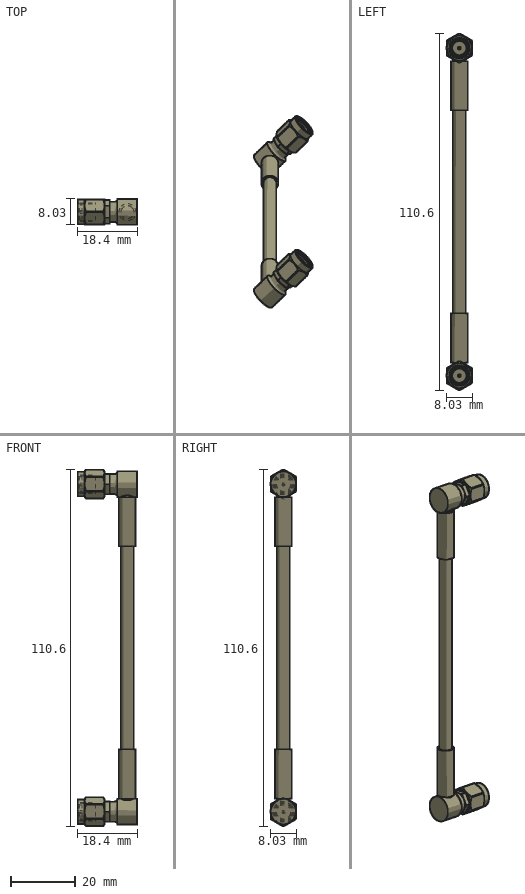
import cadquery as cq
import math


plug_spacing = 101.6
plug_length = 18.41

body_diameter = 8.03
body_length = 6.1
neck_diameter = 6.3

nut_sleeve_diameter = 7.7
nut_sleeve_length = 2.1
nut_hex_length = 6.3
nut_hex_flats = 7.94
nut_corner_diameter = 8.99
nut_hex_end_diameter = nut_sleeve_diameter
nut_chamfer_length = 0.5
nut_bore_diameter = 5.7
nut_bore_depth = 5.5
nut_bore_chamfer = 0.35

wrench_flats = 6.4
wrench_length = 1.6

shell_diameter = 5.1
shell_bore_diameter = 4.4
shell_recess = 0.5
dielectric_recess = 1.3
pin_diameter = 0.92
pin_recess = 0.6
pin_tip_chamfer = 0.2

stem_diameter = 4.0
ferrule_diameter = 5.25
ferrule_start = 4.05
ferrule_end = 19.3
cable_diameter = 4.1

back_x = body_length / 2
body_front_x = -body_length / 2
face_x = back_x - plug_length
sleeve_end_x = face_x + nut_sleeve_length
nut_end_x = sleeve_end_x + nut_hex_length
wrench_end_x = nut_end_x + wrench_length


def rod(start_x, end_x, diameter):
    """Cylinder along X."""
    return cq.Workplane("YZ", origin=(start_x, 0, 0)).circle(diameter / 2).extrude(end_x - start_x)


def hex_bar(start_x, end_x, flats, turn):
    """Hexagonal bar along X; with no turn two of its corners point along Y."""
    corners = flats / math.cos(math.pi / 6)
    bar = cq.Workplane("YZ", origin=(start_x, 0, 0)).polygon(6, corners).extrude(end_x - start_x)
    return bar.rotate((0, 0, 0), (1, 0, 0), turn)


def upright(start_z, end_z, diameter):
    """Cylinder along the cable axis."""
    return cq.Workplane("XY", origin=(0, 0, start_z)).circle(diameter / 2).extrude(end_z - start_z)


def coupling_nut():
    """Sleeve and corner-chamfered hexagon with a blind, chamfered bore."""
    corner_drop = (nut_corner_diameter - nut_hex_end_diameter) / 2
    envelope = rod(sleeve_end_x, nut_end_x, nut_corner_diameter)
    envelope = envelope.faces("<X").chamfer(nut_chamfer_length, corner_drop)
    envelope = envelope.faces(">X").chamfer(nut_chamfer_length, corner_drop)
    hexagon = hex_bar(sleeve_end_x, nut_end_x, nut_hex_flats, 90).intersect(envelope)
    nut = rod(face_x, sleeve_end_x, nut_sleeve_diameter).union(hexagon)
    nut = nut.cut(rod(face_x, face_x + nut_bore_depth, nut_bore_diameter))
    bore_mouth = nut.faces("<X").edges(cq.selectors.RadiusNthSelector(0))
    return bore_mouth.chamfer(nut_bore_chamfer)


def mating_interface():
    """Contact shell, recessed dielectric face and centre pin."""
    shell = rod(face_x + shell_recess, nut_end_x, shell_diameter)
    shell = shell.cut(rod(face_x + shell_recess, face_x + dielectric_recess, shell_bore_diameter))
    pin = rod(face_x + pin_recess, nut_end_x, pin_diameter).faces("<X").chamfer(pin_tip_chamfer)
    return shell.union(pin)


def angle_body():
    """Wrench hexagon, neck and body, with a fillet where the neck runs up to the body rim."""
    wrench = hex_bar(nut_end_x, wrench_end_x, wrench_flats, 0)
    neck_radius = neck_diameter / 2
    body_radius = body_diameter / 2
    rim_fillet = body_radius - neck_radius
    profile = (
        cq.Workplane("XZ")
        .moveTo(wrench_end_x, 0)
        .lineTo(wrench_end_x, neck_radius)
        .lineTo(body_front_x - rim_fillet, neck_radius)
        .radiusArc((body_front_x, body_radius), -rim_fillet)
        .lineTo(back_x, body_radius)
        .lineTo(back_x, 0)
        .close()
    )
    return wrench.union(profile.revolve(360, (0, 0, 0), (1, 0, 0)))


def plug():
    return coupling_nut().union(mating_interface()).union(angle_body())


def ferrule():
    """Stem out of the body carrying the crimp ferrule."""
    stem = upright(0, ferrule_start, stem_diameter)
    return stem.union(upright(ferrule_start, ferrule_end, ferrule_diameter))


lower_end = plug().union(ferrule())
upper_end = lower_end.mirror("XY").translate((0, 0, plug_spacing))
cable = upright(ferrule_end, plug_spacing - ferrule_end, cable_diameter)
result = lower_end.union(cable).union(upper_end)